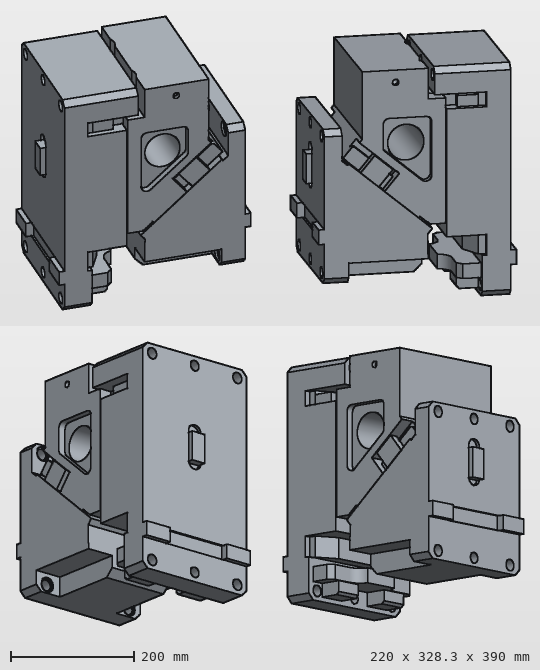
import cadquery as cq
import math

width = 220.0
mid_x = width / 2
edge_chamfer = 10.0
relief = 3.0

lever_width = 26.0
lever_height = 50.0
face_projection = 9.5
tab_width = 50.0
tab_height = 24.5
strip_depth = 4.0
slot_length = 76.5
slot_depth = 6.0
slot_lift = 2.7
corner_hole_d = 18.7
centre_hole_d = 17.5
counterbore_step = 6.0
counterbore_depth = 4.0

front_height = 390
front_rear_y = 106.5
front_arm_y = 126.0
front_flange_y = 47.0
front_flange_top = 70.2
front_block_bottom = 105.0
slot_floor_z = 319.8
slot_roof_z = 344.8
slot_end_y = 39.8
core_inset = 10.5
core_shoulder_y = 52.0
core_rear_y = 70.5
core_tip_inset = 46.8
front_lever_z = 205.0
front_tab_z = 52.3
front_hole_margin_x = 20.0
front_hole_margin_z = 16.5

terminal_bottom = 30.5
terminal_top = 55.0
terminal_chamfer = 9.5
terminal_shoulder_y = 86.5
terminal_rear_y = 105.3
terminal_pitch = 109.2
terminal_bite_r = 22.5
foot_width = 46.8
foot_rear_y = 84.0
foot_bottom = 7.8
foot_chamfer = 4.5

middle_front_y = 108.0
middle_wall_y = 137.0
middle_rear_y = 246.5
middle_bottom = 128.0
middle_step_z = 338.5
scoop_r = 23.5
scoop_y = 116.5
scoop_depth = 4.0
tongue_neck_inset = 23.0
pin_y = 191.0
pin_z = 369.5
pin_d = 10.0
pin_depth = 7.8
pin_tip_depth = 3.0
bore_y = 171.5
bore_z = 264.5
bore_d = 60.0
pocket_front_y = 131.0
pocket_rear_y = 211.8
pocket_top = 309.3
pocket_rear_z = 256.5
pocket_depth = 13.0
pocket_fillet = 10.0

slope = math.radians(40)
joint_y = 275.5
joint_z = 242.0
joint_step = 8.5
joint_contact = 160.0
joint_length = 189.5
nose_edge = 11.7
clip_recess_length = 86.0
clip_recess_height = 38.0
clip_recess_depth = 15.2
clip_groove_height = 11.7
clip_groove_depth = 25.7
clip_groove_fillet = 5.0
clip_start = 34.5
clip_end = 73.7
clip_inset = 0.8
clip_clearance = 1.0

rear_face_y = 309.3
rear_plate_y = 280.0
rear_top = 294.5
rear_bottom = 35.5
rear_front_y = 137.0
rear_flange_y = 268.7
rear_block_bottom = 70.0
rear_foot_inset = 50.0
rear_foot_chamfer = 13.5
rear_lever_z = 180.5
rear_tab_z = 103.7
rear_hole_margin_x = 23.5
rear_hole_margin_z = 15.0


def box(x0, x1, y0, y1, z0, z1):
    return cq.Workplane("XY").box(x1 - x0, y1 - y0, z1 - z0, centered=False).translate((x0, y0, z0))


def side_prism(points, x0, x1):
    """Extrude a (y, z) outline from x0 to x1."""
    return cq.Workplane("YZ").polyline(points).close().extrude(x1 - x0).translate((x0, 0, 0))


def plan_prism(points, z0, z1):
    """Extrude an (x, y) outline from z0 to z1."""
    return cq.Workplane("XY").polyline(points).close().extrude(z1 - z0).translate((0, 0, z0))


def mirrored(half):
    """Complete an (x, y) half outline with its mirror image about the middle of the width."""
    return half + [(width - x, y) for x, y in reversed(half)]


def both_sides(solid):
    """Return a feature of the -X side together with its mirror image on the +X side."""
    return solid.union(solid.mirror("YZ", (mid_x, 0, 0)))


def y_cylinder(x, z, diameter, y0, y1):
    circle = cq.Workplane("XZ").center(x, z).circle(diameter / 2)
    return circle.extrude(y0 - y1).translate((0, y0, 0))


def on_joint(along, above):
    """Point (y, z) at a distance along the sloping joint and a height square to it."""
    y = joint_y - along * math.cos(slope) - above * math.sin(slope)
    z = joint_z - along * math.sin(slope) + above * math.cos(slope)
    return (y, z)


def hole_places(bottom, top, margin_x, margin_z):
    """(x, z, diameter) of the six mounting holes of an outer body."""
    return [
        (x, z, diameter)
        for z in (bottom + margin_z, top - margin_z)
        for x, diameter in (
            (margin_x, corner_hole_d),
            (mid_x, centre_hole_d),
            (width - margin_x, corner_hole_d),
        )
    ]


def add_mounting_face(body, face_y, outward, lever_z, tab_z):
    """Add lever, slot, tabs and strip to a face at face_y whose outside lies toward outward."""

    def layer(x0, x1, height, z0, z1):
        ends = sorted((face_y, face_y + outward * height))
        return box(x0, x1, ends[0], ends[1], z0, z1)

    slot_z = lever_z + lever_height / 2 + slot_lift
    slot = cq.Workplane("XZ").center(mid_x, slot_z).slot2D(slot_length, lever_width, 90)
    slot = slot.extrude(slot_depth, both=True).translate((0, face_y, 0))
    tab_top = tab_z + tab_height
    strip = layer(tab_width, width - tab_width, -strip_depth, tab_z, tab_top)
    tab = layer(0, tab_width, face_projection, tab_z, tab_top)
    lever_sides = (mid_x - lever_width / 2, mid_x + lever_width / 2)
    lever_top = lever_z + lever_height
    lever = layer(*lever_sides, face_projection, lever_z, lever_top)
    lever = lever.union(layer(*lever_sides, -slot_depth, lever_z, lever_top))
    return body.cut(slot).cut(strip).union(both_sides(tab)).union(lever)


def make_terminals():
    shoulder = terminal_shoulder_y - terminal_chamfer
    half = [
        (core_inset, front_flange_y),
        (core_inset, shoulder),
        (core_inset + terminal_chamfer, terminal_shoulder_y),
        (mid_x - terminal_pitch / 2, terminal_shoulder_y),
        (mid_x - terminal_pitch / 2, terminal_rear_y),
    ]
    terminals = plan_prism(mirrored(half), terminal_bottom, terminal_top)
    foot_x = mid_x - terminal_pitch / 2
    bite = cq.Workplane("XY").circle(terminal_bite_r).extrude(terminal_top)
    bite = bite.translate((foot_x, terminal_shoulder_y + terminal_bite_r, 0))
    foot = box(
        foot_x - foot_width / 2, foot_x + foot_width / 2,
        front_flange_y, foot_rear_y, foot_bottom, terminal_bottom,
    )
    foot = foot.faces(">Y").edges("<Z").chamfer(foot_chamfer)
    return terminals.cut(both_sides(bite)).union(both_sides(foot))


def make_front_body():
    outline = [
        (0, 0),
        (front_flange_y, 0),
        (front_flange_y, front_flange_top),
        (slot_end_y, front_flange_top),
        (slot_end_y, front_block_bottom),
        (front_rear_y, front_block_bottom),
        (front_rear_y, slot_floor_z),
        (slot_end_y, slot_floor_z),
        (slot_end_y, slot_roof_z),
        (front_arm_y, slot_roof_z),
        (front_arm_y, front_height),
        (0, front_height),
    ]
    body = side_prism(outline, 0, width).edges("|Y").edges("<X or >X").edges("<Z or >Z").chamfer(edge_chamfer)
    core = [(core_inset, slot_end_y), (core_inset, core_shoulder_y), (core_tip_inset, core_rear_y)]
    body = body.union(plan_prism(mirrored(core), front_flange_top, slot_roof_z))
    holes = hole_places(0, front_height, front_hole_margin_x, front_hole_margin_z)
    for x, z, diameter in holes:
        body = body.cut(y_cylinder(x, z, diameter, 0, front_arm_y))
    body = body.union(make_terminals())
    return add_mounting_face(body, 0, -1, front_lever_z, front_tab_z)


def make_tongue():
    """Tongue that reaches into the slot of the front body and wraps around its core."""
    half = [
        (core_tip_inset, core_rear_y),
        (core_inset, core_shoulder_y),
        (core_inset, terminal_shoulder_y),
        (tongue_neck_inset, terminal_shoulder_y),
        (tongue_neck_inset, middle_front_y),
    ]
    return plan_prism(mirrored(half), slot_floor_z, middle_step_z)


def make_pin_hole():
    """Blind hole with a conical end."""
    half_section = [
        (0, pin_z),
        (0, pin_z + pin_d / 2),
        (pin_depth, pin_z + pin_d / 2),
        (pin_depth + pin_tip_depth, pin_z),
    ]
    section = cq.Workplane("XZ").polyline(half_section).close()
    return section.revolve(360, (0, pin_z, 0), (1, pin_z, 0)).translate((0, pin_y, 0))


def make_side_pocket():
    front_z = pocket_rear_z - (pocket_rear_y - pocket_front_y) * math.tan(slope)
    outline = [
        (pocket_front_y, pocket_top),
        (pocket_rear_y, pocket_top),
        (pocket_rear_y, pocket_rear_z),
        (pocket_front_y, front_z),
    ]
    return side_prism(outline, 0, pocket_depth).edges("|X").fillet(pocket_fillet)


def make_clip_recess():
    corners = [
        on_joint(0, 0),
        on_joint(0, clip_recess_height),
        on_joint(clip_recess_length, clip_recess_height),
        on_joint(clip_recess_length, 0),
    ]
    groove_floor = clip_recess_height - clip_groove_height
    groove = [
        on_joint(0, groove_floor - clip_groove_fillet),
        on_joint(0, clip_recess_height),
        on_joint(clip_recess_length, clip_recess_height),
        on_joint(clip_recess_length, groove_floor),
        on_joint(clip_groove_fillet, groove_floor),
    ]
    arc_offset = clip_groove_fillet * (1 - math.cos(math.radians(45)))
    bend = on_joint(arc_offset, groove_floor - arc_offset)
    groove_outline = cq.Workplane("YZ").polyline(groove).threePointArc(bend, groove[0]).close()
    groove_cut = groove_outline.extrude(clip_groove_depth)
    return side_prism(corners, 0, clip_recess_depth).union(groove_cut)


def make_middle_body():
    heel_y = joint_y - (joint_z + relief / math.cos(slope) - middle_bottom) / math.tan(slope)
    end_z = joint_z + (joint_y - middle_rear_y) / math.tan(slope)
    outline = [
        (middle_rear_y, front_height),
        (middle_wall_y, front_height),
        (middle_wall_y, middle_step_z),
        (middle_front_y, middle_step_z),
        (middle_front_y, middle_bottom),
        (heel_y, middle_bottom),
        on_joint(joint_contact, relief),
        on_joint(joint_contact, 0),
        on_joint(0, 0),
        (middle_rear_y, end_z),
    ]
    body = side_prism(outline, 0, width).union(make_tongue())
    scoop = cq.Workplane("XY").circle(scoop_r).extrude(front_height)
    scoop = scoop.translate((mid_x - terminal_pitch / 2, scoop_y, middle_step_z - scoop_depth))
    body = body.cut(both_sides(scoop)).cut(both_sides(make_pin_hole()))
    body = body.cut(both_sides(make_side_pocket())).cut(both_sides(make_clip_recess()))
    bore = cq.Workplane("YZ").center(bore_y, bore_z).circle(bore_d / 2).extrude(width)
    return body.cut(bore)


def make_rear_body():
    plate_joint_along = (joint_y - rear_plate_y + relief * math.sin(slope)) / math.cos(slope)
    outline = [
        (rear_face_y, rear_top),
        (rear_plate_y, rear_top),
        on_joint(plate_joint_along, -relief),
        on_joint(joint_step, -relief),
        on_joint(joint_step, 0),
        on_joint(joint_length, 0),
        on_joint(joint_length, -nose_edge),
        (rear_front_y, rear_block_bottom),
        (rear_flange_y, rear_block_bottom),
        (rear_flange_y, rear_bottom),
        (rear_face_y, rear_bottom),
    ]
    body = side_prism(outline, 0, width).edges("|Y").edges("<X or >X").edges("<Z or >Z").chamfer(edge_chamfer)
    foot = box(
        rear_foot_inset, width - rear_foot_inset,
        rear_front_y, rear_flange_y, rear_bottom, rear_block_bottom,
    )
    body = body.union(foot.faces("<Y").edges("<Z").chamfer(rear_foot_chamfer))
    clip_height = clip_recess_height - clip_clearance
    clip = side_prism(
        [
            on_joint(clip_start, 0),
            on_joint(clip_start, clip_height),
            on_joint(clip_end, clip_height),
            on_joint(clip_end, 0),
        ],
        clip_inset,
        clip_recess_depth,
    )
    body = body.union(both_sides(clip))
    holes = hole_places(rear_bottom, rear_top, rear_hole_margin_x, rear_hole_margin_z)
    for x, z, diameter in holes:
        body = body.cut(y_cylinder(x, z, diameter, rear_flange_y, rear_face_y))
        seat_y = rear_plate_y if z > joint_z else rear_flange_y
        seat_d = diameter + counterbore_step
        body = body.cut(y_cylinder(x, z, seat_d, seat_y, seat_y + counterbore_depth))
    return add_mounting_face(body, rear_face_y, 1, rear_lever_z, rear_tab_z)


front_body = make_front_body()
middle_body = make_middle_body()
rear_body = make_rear_body()
result = cq.Compound.makeCompound([front_body.val(), middle_body.val(), rear_body.val()])